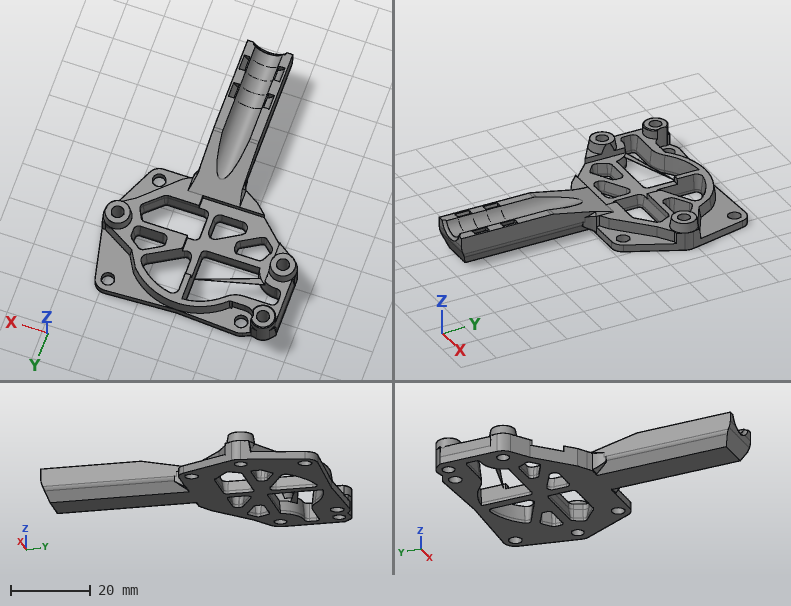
import cadquery as cq
import math

flange_z = 2.0
recess_z = 3.5
plate_z = 5.0
boss_z = 7.5
handle_z = 8.5
opening_land = 0.8
above_part = 5.0
outside = 40.0

boss_x = 21.95
right_boss = (boss_x, 0)
left_boss = (-boss_x, 0)
upper_boss = (-boss_x, 15.1)
boss_hole_d = 3.2
boss_pad_r = 3.64
boss_base_r = 3.6
boss_top_r = 3.15
upper_boss_r = 3.2
upper_boss_chamfer = 0.25

ear_hole_d = 3.4
ear_left = (-16.4, 15.85)
ear_right = (18.95, 15.85)
ear_low = (15.85, -14.05)
ear_r = 3.25
ear_left_pocket_r = 3.1

rim_r = 17.7
wall_draft = 0.5
left_edge_x = -(boss_x + boss_pad_r)
left_corner = (left_edge_x, 15.8)
ear_notch = (-19.7, 17.9)
neck = [(19.2, -6.2), (10.0, -14.95), (7.6, -16.4)]
flange_bottom_y = ear_low[1] - ear_r

spoke = 0.77
opening_low_y = -9.5
opening_draft = 0.45
corner_r = 1.4
wide_corner_r = 1.7
arc_right_r = 15.75
arc_left_r = 16.2
boss_wall_r = 5.7

recess_left = -18.83
recess_right = 3.68
recess_top = 9.25
web_thickness = 0.1
web_points = [(-19.3, 4.9), (-18.8, 5.05), (-1.6, 9.47), (-17.4, 3.66), (-18.0, 3.4)]

handle_x = 0.78
handle_half = 6.0
handle_bottom_half = 4.15
handle_slope_z = 3.2
handle_edge_r = 2.2
root_half = 6.87
root_y = -12.4
root_end_y = -17.3
flare_end_y = -20.6
cove_z = 5.9
under_start_y = -16.8
under_end_y = -20.8
under_z = 2.6
total_length = 74.11
end_y = ear_left[1] + ear_r - total_length
end_slope_z = 5.1
end_setback = 2.0
end_r = 5.0
ramp_end_y = -29.2
ramp_r = 4.0

groove_half = 3.6
groove_depth = 2.4
groove_r = (groove_half ** 2 + groove_depth ** 2) / (2 * groove_depth)
groove_axis_z = handle_z - groove_depth + groove_r
groove_mouth = 0.8
tie_inner_r = 4.2
tie_outer_r = 5.6
tie_width = 4.0
tie_centres_y = [-40.85, -48.85]


def prism(outline, bottom, top):
    return outline.extrude(top - bottom).translate((0, 0, bottom))


def cylinder(centre, radius, bottom, top):
    return prism(cq.Workplane().center(*centre).circle(radius), bottom, top)


def box(x0, x1, y0, y1, z0, z1):
    return cq.Workplane().box(x1 - x0, y1 - y0, z1 - z0, centered=False).translate((x0, y0, z0))


def tapered_down(sketch, top, bottom, shrink):
    """Prism hanging from top to bottom whose walls move inward by shrink."""
    depth = top - bottom
    angle = math.degrees(math.atan2(shrink, depth))
    return cq.Workplane().workplane(offset=top).placeSketch(sketch).extrude(-depth, taper=angle)


def on_circle(centre, radius, angle):
    return (centre[0] + radius * math.cos(angle), centre[1] + radius * math.sin(angle))


def belt(stops):
    """Closed clockwise outline of straight tangents around circles; radius zero is a sharp point."""
    normals = []
    for i, (c0, r0) in enumerate(stops):
        c1, r1 = stops[(i + 1) % len(stops)]
        run = (c1[0] - c0[0], c1[1] - c0[1])
        lean = math.acos((r0 - r1) / math.hypot(*run))
        normals.append(math.atan2(run[1], run[0]) + lean)
    centre, radius = stops[0]
    outline = cq.Workplane().moveTo(*on_circle(centre, radius, normals[0]))
    for i in range(1, len(stops) + 1):
        centre, radius = stops[i % len(stops)]
        arrive = normals[i - 1]
        leave = normals[i % len(stops)]
        outline = outline.lineTo(*on_circle(centre, radius, arrive))
        if radius > 0:
            turn = (arrive - leave) % (2 * math.pi)
            middle = on_circle(centre, radius, arrive - turn / 2)
            outline = outline.threePointArc(middle, on_circle(centre, radius, leave))
    return outline.close()


def make_blank():
    neck_right = ((neck[-1][0], flange_bottom_y), 0)
    root_corner = ((handle_x - root_half, root_end_y), 0)
    neck_left = [((-x, y), 0) for x, y in reversed(neck)]
    stops = [
        (ear_left, ear_r),
        ((0, rim_r + wall_draft), 0),
        (ear_right, ear_r),
        (right_boss, boss_pad_r),
        (ear_low, ear_r),
        neck_right,
        root_corner,
        *neck_left,
        (left_boss, boss_pad_r),
        (left_corner, 0),
        (upper_boss, upper_boss_r),
        (ear_notch, 0),
    ]
    return prism(belt(stops), 0, plate_z)


def cut_flanges(plate):
    floor_y = ear_left[1] - ear_left_pocket_r
    start_x = -math.sqrt(rim_r ** 2 - floor_y ** 2)
    rim_end = on_circle((0, 0), rim_r, math.radians(42.5))
    rim_bend = (15.51, 7.62)
    rim_boss = (24.0, 2.72)
    curved = (
        cq.Sketch()
        .segment((ear_left[0], floor_y), (start_x, floor_y))
        .arc((start_x, floor_y), (0, rim_r), rim_end)
        .segment(rim_end, rim_bend)
        .segment(rim_bend, rim_boss)
        .segment(rim_boss, (outside, rim_boss[1]))
        .segment((outside, rim_boss[1]), (outside, outside))
        .segment((outside, outside), (ear_left[0], outside))
        .close()
        .assemble()
    )
    rim_cut = tapered_down(curved, plate_z, flange_z, wall_draft)
    plate = plate.cut(rim_cut.cut(cylinder(right_boss, boss_pad_r, 0, plate_z)))

    ear_right_x = -math.sqrt((rim_r + wall_draft) ** 2 - floor_y ** 2)
    ear = box(ear_left[0], ear_right_x, floor_y, outside, flange_z, plate_z)
    ear = ear.union(box(ear_left[0] - ear_left_pocket_r, ear_left[0], ear_left[1], outside, flange_z, plate_z))
    ear = ear.union(cylinder(ear_left, ear_left_pocket_r, flange_z, plate_z))
    plate = plate.cut(ear)

    low_start = (23.4, -3.4)
    low = [low_start, *neck, (neck[-1][0], -outside), (outside, -outside), (outside, low_start[1])]
    plate = plate.cut(prism(cq.Workplane().polyline(low).close(), flange_z, plate_z))

    slope_start_y = math.sqrt(boss_pad_r ** 2 - (boss_pad_r - wall_draft) ** 2)
    slope = (
        cq.Workplane("XZ", origin=(0, slope_start_y, 0))
        .polyline([(left_edge_x, flange_z), (left_edge_x + wall_draft, plate_z), (left_edge_x, plate_z)])
        .close()
        .extrude(slope_start_y - left_corner[1])
    )
    return plate.cut(slope)


def add_bosses(plate):
    for centre in (left_boss, right_boss):
        cone = (
            cq.Workplane()
            .workplane(offset=plate_z)
            .center(*centre)
            .circle(boss_base_r)
            .workplane(offset=boss_z - plate_z)
            .circle(boss_top_r)
            .loft()
        )
        plate = plate.union(cone)
    post = cylinder(upper_boss, upper_boss_r, 0, boss_z).faces(">Z").chamfer(upper_boss_chamfer)
    post = post.cut(cylinder(ear_left, ear_left_pocket_r, flange_z, boss_z))
    return plate.union(post)


def cut_recess(plate):
    return plate.cut(box(recess_left, recess_right, root_y, recess_top, recess_z, boss_z + above_part))


def polygon_opening(points, radius=corner_r):
    return cq.Sketch().polygon([*points, points[0]]).vertices().fillet(radius)


def right_arc_opening():
    slope = math.tan(math.radians(30))
    rise = 0.84
    a = 1 + slope ** 2
    b = 2 * slope * rise
    c = rise ** 2 - arc_right_r ** 2
    tip_x = (-b + math.sqrt(b ** 2 - 4 * a * c)) / (2 * a)
    tip = (tip_x, slope * tip_x + rise)
    low = (spoke, slope * spoke + rise)
    high = (spoke, math.sqrt(arc_right_r ** 2 - spoke ** 2))
    middle = on_circle((0, 0), arc_right_r, math.radians(60))
    return (
        cq.Sketch()
        .segment(low, high)
        .arc(high, middle, tip)
        .segment(tip, low)
        .assemble()
        .vertices()
        .fillet(wide_corner_r)
    )


def left_arc_opening():
    low_y = 0.9
    arm_y = 10.34
    left_x = -23.7
    bend_x = -15.08
    bend_r = (bend_x ** 2 + arm_y ** 2 - arc_left_r ** 2) / (2 * (arc_left_r - arm_y))
    bend = (bend_x, arm_y + bend_r)
    bend_angle = math.atan2(bend[1], bend[0])
    meet = on_circle((0, 0), arc_left_r, bend_angle)
    bend_start = -math.pi / 2
    bend_finish = bend_angle - math.pi
    bend_middle = on_circle(bend, bend_r, (bend_start + bend_finish) / 2)
    rim_middle = on_circle((0, 0), arc_left_r, math.radians(110))
    high = (-spoke, math.sqrt(arc_left_r ** 2 - spoke ** 2))
    wall_top = (left_boss[0], boss_wall_r)
    wall_middle = on_circle(left_boss, boss_wall_r, math.radians(50))
    wall_low = (left_boss[0] + math.sqrt(boss_wall_r ** 2 - low_y ** 2), low_y)
    sharp = [(-spoke, low_y), high, (left_x, arm_y), (left_x, boss_wall_r), wall_low]
    opening = (
        cq.Sketch()
        .segment(sharp[0], high)
        .arc(high, rim_middle, meet)
        .arc(meet, bend_middle, (bend_x, arm_y))
        .segment((bend_x, arm_y), (left_x, arm_y))
        .segment((left_x, arm_y), (left_x, boss_wall_r))
        .segment((left_x, boss_wall_r), wall_top)
        .arc(wall_top, wall_middle, wall_low)
        .segment(wall_low, sharp[0])
        .assemble()
    )
    for x, y in sharp:
        near = cq.selectors.NearestToPointSelector((x, y, 0))
        opening = opening.reset().vertices(near).fillet(corner_r)
    return opening.reset()


def cut_openings(plate):
    lower_outer = [(-15.9, -spoke), (-8.36, -spoke), (-8.36, -3.9), (-14.63, -7.54), (-17.85, -4.75)]
    lower_inner = [(-spoke, -1.3), (-spoke, opening_low_y), (-9.66, opening_low_y), (-9.66, -6.6)]
    lower_right = [
        (spoke, -spoke),
        (15.75, -spoke),
        (17.8, -4.66),
        (12.4, opening_low_y),
        (spoke, opening_low_y),
    ]
    small_right = [(13.5, 7.0), (17.0, 4.33), (17.0, spoke), (8.17, spoke), (8.17, 3.86)]
    openings = [
        (polygon_opening(lower_outer), recess_z),
        (polygon_opening(lower_inner, wide_corner_r), recess_z),
        (polygon_opening(lower_right), recess_z),
        (left_arc_opening(), plate_z),
        (polygon_opening(small_right), plate_z),
        (right_arc_opening(), plate_z),
    ]
    for sketch, draft_top in openings:
        plate = plate.cut(cq.Workplane().workplane(offset=draft_top).placeSketch(sketch).extrude(above_part))
        sloped = tapered_down(sketch, draft_top, opening_land, opening_draft)
        plate = plate.cut(sloped)
        plate = plate.cut(sloped.faces("<Z").wires().toPending().extrude(-opening_land))
    return plate


def add_web(plate):
    return plate.union(prism(cq.Workplane().polyline(web_points).close(), recess_z - web_thickness, recess_z))


def ramp_and_end(solid):
    """Trim a handle solid with the ramp on top and the sloping end."""
    side = (
        cq.Workplane("YZ")
        .polyline([
            (root_y, 0),
            (root_y, plate_z),
            (ramp_end_y, handle_z),
            (end_y, handle_z),
            (end_y, end_slope_z),
            (end_y + end_setback, 0),
        ])
        .close()
        .extrude(outside, both=True)
    )
    ramp_edge = cq.selectors.NearestToPointSelector((0, ramp_end_y, handle_z))
    end_edge = cq.selectors.NearestToPointSelector((0, end_y, end_slope_z))
    side = side.edges(ramp_edge).fillet(ramp_r)
    side = side.edges(end_edge).fillet(end_r)
    return solid.intersect(side)


def handle_bar():
    section = [
        (-handle_bottom_half, 0),
        (-handle_half, handle_slope_z),
        (-handle_half, handle_z),
        (handle_half, handle_z),
        (handle_half, handle_slope_z),
        (handle_bottom_half, 0),
    ]
    bar = cq.Workplane("XZ", origin=(0, root_y, 0)).polyline(section).close().extrude(root_y - end_y)
    middle_y = (root_y + end_y) / 2
    for side in (-1, 1):
        edge = cq.selectors.NearestToPointSelector((side * handle_half, middle_y, handle_slope_z))
        bar = bar.edges(edge).fillet(handle_edge_r)
    return bar


def flared_root():
    """Root block that flares out from the handle, with sloping shoulders above the plate."""
    start_y = root_y + root_half
    blend_y = root_end_y + (flare_end_y - root_end_y) * 0.4
    blend_half = handle_half + (root_half - handle_half) * 0.3
    outline = (
        cq.Sketch()
        .segment((-root_half, start_y), (-root_half, root_end_y))
        .arc((-root_half, root_end_y), (-blend_half, blend_y), (-handle_half, flare_end_y))
        .segment((-handle_half, flare_end_y), (handle_half, flare_end_y))
        .arc((handle_half, flare_end_y), (blend_half, blend_y), (root_half, root_end_y))
        .segment((root_half, root_end_y), (root_half, start_y))
        .close()
        .assemble()
    )
    block = cq.Workplane().placeSketch(outline).extrude(plate_z)
    shoulder_rise = cove_z - plate_z
    shoulder_angle = math.degrees(math.atan2(root_half - handle_half, shoulder_rise))
    shoulder = (
        cq.Workplane()
        .workplane(offset=plate_z)
        .placeSketch(outline)
        .extrude(shoulder_rise, taper=shoulder_angle)
    )
    bevel = (
        cq.Workplane("YZ")
        .polyline([(under_start_y, 0), (under_end_y, under_z), (under_end_y, 0)])
        .close()
        .extrude(outside, both=True)
    )
    return block.union(shoulder).cut(bevel)


def make_handle():
    handle = ramp_and_end(handle_bar().union(flared_root()))

    groove = cq.Workplane("XZ").center(0, groove_axis_z).circle(groove_r).extrude(outside * 2)
    handle = handle.cut(groove)
    mouth_r = groove_r + groove_mouth
    mouth = (
        cq.Workplane("XY", origin=(0, end_y, groove_axis_z))
        .lineTo(mouth_r, 0)
        .radiusArc((groove_r, groove_mouth), -groove_mouth)
        .lineTo(0, groove_mouth)
        .close()
        .revolve(360, (0, 0, 0), (0, 1, 0))
    )
    handle = handle.cut(mouth)

    for y in tie_centres_y:
        tunnel = (
            cq.Workplane("XZ", origin=(0, y + tie_width / 2, groove_axis_z))
            .circle(tie_outer_r)
            .circle(tie_inner_r)
            .extrude(tie_width)
        )
        handle = handle.cut(tunnel)
    return handle.translate((handle_x, 0, 0))


def drill_holes(part):
    for centre in (left_boss, right_boss, upper_boss):
        part = part.cut(cylinder(centre, boss_hole_d / 2, -above_part, boss_z + above_part))
    for centre in (ear_left, ear_right, ear_low):
        part = part.cut(cylinder(centre, ear_hole_d / 2, -above_part, boss_z + above_part))
    return part


plate = cut_flanges(make_blank())
plate = add_bosses(plate)
plate = cut_recess(plate)
plate = cut_openings(plate)
plate = add_web(plate)
result = drill_holes(plate.union(make_handle()))